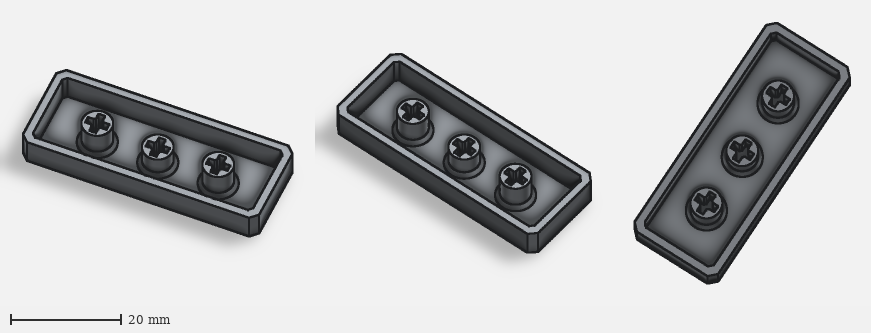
import cadquery as cq

length = 46.6
width = 18.05
height = 6.9
edge_chamfer = 1.4

wall = 1.6
cavity_corner_chamfer = 0.75
floor_thickness = 1.4

post_spacing = 11.95
post_diameter = 5.8
foot_diameter = 7.45
foot_height = 0.85
center_post_drop = 0.95

cross_span = 4.2
cross_arm_width = 1.3
cross_corner_chamfer = 0.33


def make_shell():
    """Tray with chamfered upright corners and a chamfered underside."""
    body = cq.Workplane("XY").box(length, width, height, centered=(True, True, False))
    body = body.edges("|Z or <Z").chamfer(edge_chamfer)
    cavity = (
        cq.Workplane("XY")
        .workplane(offset=floor_thickness)
        .rect(length - 2 * wall, width - 2 * wall)
        .extrude(height - floor_thickness)
        .edges("|Z")
        .chamfer(cavity_corner_chamfer)
    )
    return body.cut(cavity)


def make_post(x, top):
    """Round post standing on the floor, flared at its foot."""
    post_radius = post_diameter / 2
    foot_radius = foot_diameter / 2
    return (
        cq.Workplane("XZ")
        .moveTo(0, floor_thickness)
        .lineTo(foot_radius, floor_thickness)
        .lineTo(post_radius, floor_thickness + foot_height)
        .lineTo(post_radius, top)
        .lineTo(0, top)
        .close()
        .revolve(360, (0, 0), (0, 1))
        .translate((x, 0, 0))
    )


def make_socket(x, top):
    """Cross-shaped cutter reaching down to the floor, with bevelled inner corners."""
    depth = top - floor_thickness
    base = cq.Workplane("XY").workplane(offset=floor_thickness).center(x, 0)
    cross = base.rect(cross_span, cross_arm_width).extrude(depth)
    cross = cross.union(base.rect(cross_arm_width, cross_span).extrude(depth))
    bevel_reach = cross_arm_width + cross_corner_chamfer
    bevel = (
        base.polyline([(bevel_reach, 0), (0, bevel_reach), (-bevel_reach, 0), (0, -bevel_reach)])
        .close()
        .extrude(depth)
    )
    return cross.union(bevel)


result = make_shell()
for position in (-1, 0, 1):
    post_x = position * post_spacing
    post_top = height - center_post_drop if position == 0 else height
    result = result.union(make_post(post_x, post_top))
    result = result.cut(make_socket(post_x, post_top))